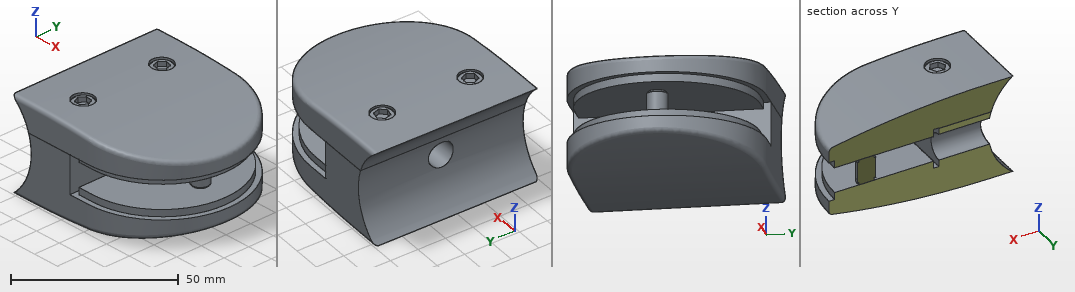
import cadquery as cq
import math

LENGTH = 63.5
WIDTH = 60.0
HEIGHT = 34.0
END_RADIUS = WIDTH / 2
END_CENTER_X = LENGTH - END_RADIUS

CROWN_RADIUS = 292.25
EDGE_FILLET = 1.5

SADDLE_RADIUS = 21.2
SADDLE_AXIS_X = -math.sqrt(SADDLE_RADIUS**2 - (HEIGHT / 2) ** 2)
SADDLE_BOTTOM_X = SADDLE_AXIS_X + SADDLE_RADIUS

SLOT_HEIGHT = 13.6
SLOT_BACK_X = 25.6
PAD_THICKNESS = 2.5
PAD_INSET = 2.0
PAD_BACK_X = 27.4
JOINT_Z = SLOT_HEIGHT / 2
PAD_FACE_Z = JOINT_Z - PAD_THICKNESS

BOLT_HOLE_DIAMETER = 9.0

SCREW_X = 16.6
SCREW_SPACING = 32.0
SCREW_OFFSET_Y = -0.3
HEAD_DIAMETER = 7.8
HEAD_FILLET = 0.65
HEAD_TOP_Z = 16.45
COUNTERBORE_DIAMETER = 7.95
HEX_CORNER_DIAMETER = 5.2
HEX_DEPTH = 1.8
HEX_TURNS = {1: -13.0, -1: -5.0}

PIN_X = 50.5
PIN_DIAMETER = 6.5
PIN_NECK_DIAMETER = 5.45
PIN_SHOULDER_Z = 3.7


def d_plate(back_x, radius, bottom_z, top_z):
    """D-shaped plate from back_x to the half-round end around END_CENTER_X."""
    return (
        cq.Workplane("XY", origin=(0, 0, bottom_z))
        .moveTo(back_x, -radius)
        .lineTo(END_CENTER_X, -radius)
        .threePointArc((END_CENTER_X + radius, 0), (END_CENTER_X, radius))
        .lineTo(back_x, radius)
        .close()
        .extrude(top_z - bottom_z)
    )


def crowned_slab():
    """Side profile of the clamp, extruded over its full width."""
    top = HEIGHT / 2

    def crown_z(x):
        run = x - SADDLE_BOTTOM_X
        return top - CROWN_RADIUS + math.sqrt(CROWN_RADIUS**2 - run**2)

    middle_x = (SADDLE_BOTTOM_X + LENGTH) / 2
    middle_z = crown_z(middle_x)
    end_z = crown_z(LENGTH)
    return (
        cq.Workplane("XZ")
        .moveTo(0, top)
        .lineTo(SADDLE_BOTTOM_X, top)
        .threePointArc((middle_x, middle_z), (LENGTH, end_z))
        .lineTo(LENGTH, -end_z)
        .threePointArc((middle_x, -middle_z), (SADDLE_BOTTOM_X, -top))
        .lineTo(0, -top)
        .close()
        .extrude(WIDTH / 2, both=True)
    )


def clamp_blank():
    """Crowned D block with rounded rims, before it is divided into base and cover."""
    block = d_plate(0, END_RADIUS, -HEIGHT / 2, HEIGHT / 2).intersect(crowned_slab())
    rim_edges = block.faces("not(|X or |Y)").edges("not(|Y or |Z)")
    block = rim_edges.fillet(EDGE_FILLET)
    saddle = (
        cq.Workplane("XZ").center(SADDLE_AXIS_X, 0).circle(SADDLE_RADIUS).extrude(WIDTH, both=True)
    )
    return block.cut(saddle)


def outline_box(bottom_z, top_z):
    """Box that covers the whole outline between two heights."""
    return (
        cq.Workplane("XY", origin=(LENGTH / 2, 0, bottom_z))
        .rect(2 * LENGTH, 2 * WIDTH)
        .extrude(top_z - bottom_z)
    )


def screw_recess(y, hex_turn):
    """Space around and inside one sunk screw head: annular recess and hexagon socket."""
    head_edge_z = HEAD_TOP_Z - HEAD_FILLET
    recess = (
        cq.Workplane("XY", origin=(SCREW_X, y, head_edge_z))
        .circle(COUNTERBORE_DIAMETER / 2)
        .extrude(HEIGHT / 2 - head_edge_z)
    )
    head = (
        cq.Workplane("XY", origin=(SCREW_X, y, JOINT_Z))
        .circle(HEAD_DIAMETER / 2)
        .extrude(HEAD_TOP_Z - JOINT_Z)
        .faces(">Z")
        .edges()
        .fillet(HEAD_FILLET)
    )
    socket = (
        cq.Workplane("XY", origin=(SCREW_X, y, HEAD_TOP_Z - HEX_DEPTH))
        .transformed(rotate=(0, 0, hex_turn))
        .polygon(6, HEX_CORNER_DIAMETER)
        .extrude(HEX_DEPTH)
    )
    return recess.cut(head).union(socket)


def make_base(blank):
    """Lower jaw with its pad and the web that carries the saddle and the bolt hole."""
    body = blank.intersect(outline_box(-HEIGHT, JOINT_Z))
    slot = (
        cq.Workplane("XY", origin=(SLOT_BACK_X, 0, 0))
        .box(LENGTH, 2 * WIDTH, SLOT_HEIGHT, centered=(False, True, True))
    )
    bolt_hole = cq.Workplane("YZ").circle(BOLT_HOLE_DIAMETER / 2).extrude(SLOT_BACK_X)
    pad = d_plate(PAD_BACK_X, END_RADIUS - PAD_INSET, -JOINT_Z, -PAD_FACE_Z)
    return body.cut(slot).cut(bolt_hole).union(pad)


def make_cover(blank):
    """Upper jaw with its pad and the two sunk screw heads."""
    body = blank.intersect(outline_box(JOINT_Z, HEIGHT))
    for side, hex_turn in HEX_TURNS.items():
        y = SCREW_OFFSET_Y + side * SCREW_SPACING / 2
        body = body.cut(screw_recess(y, hex_turn))
    pad = d_plate(PAD_BACK_X, END_RADIUS - PAD_INSET, PAD_FACE_Z, JOINT_Z)
    return body.union(pad)


def pin_cylinder(diameter, half_length):
    """Upright cylinder on the pin axis, centred on the slot."""
    return (
        cq.Workplane("XY", origin=(PIN_X, 0, -half_length))
        .circle(diameter / 2)
        .extrude(2 * half_length)
    )


def make_pin():
    """Pin between the pads with a narrower neck at each end."""
    shank = pin_cylinder(PIN_DIAMETER, PIN_SHOULDER_Z)
    neck = pin_cylinder(PIN_NECK_DIAMETER, PAD_FACE_Z)
    return shank.union(neck)


blank = clamp_blank()
base = make_base(blank)
cover = make_cover(blank)
pin = make_pin()

result = cq.Compound.makeCompound([base.val(), cover.val(), pin.val()])